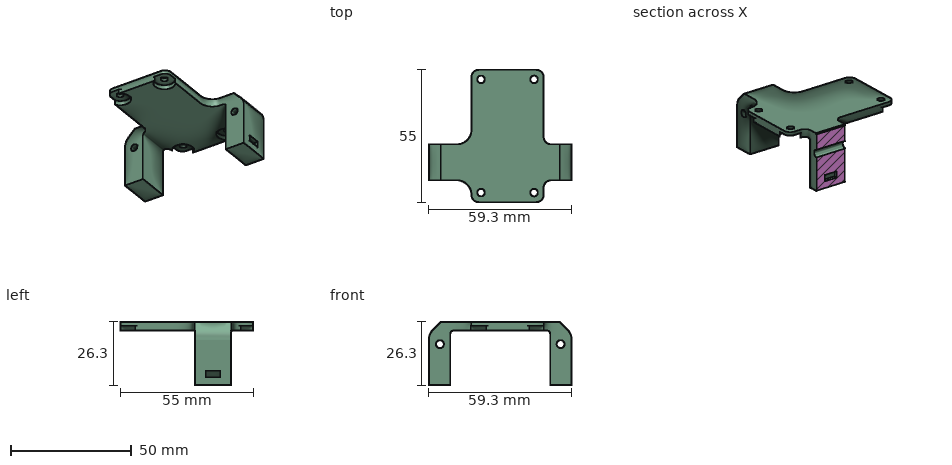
import cadquery as cq

length_x = 59.3
length_y = 55.0
height = 26.25
top_z = height / 2
bottom_z = -height / 2

plate_width = 30.0
plate_left = -12.0
plate_right = plate_left + plate_width
plate_thickness = 3.7
plate_corner_radius = 3.0
left_blend_radius = 6.0
right_blend_radius = 3.0

mount_hole_diameter = 3.0
mount_hole_inset = 4.0
corner_web_thickness = 1.65
corner_clearance_radius = 4.5

arm_depth = 15.0
arm_front = -length_y / 2 + 9.1
arm_back = arm_front + arm_depth
arm_mid_y = (arm_front + arm_back) / 2
leg_width = 9.0
shoulder_chamfer = 5.0
shoulder_radius = 6.0
inner_radius = 1.2

leg_hole_diameter = 3.2
leg_hole_inset = 4.6
leg_hole_drop = 9.25
pocket_width = 6.0
pocket_height = 2.65
pocket_floor_height = 3.3
pocket_depth = 6.0


def box_between(x_range, y_range, z_range):
    """Axis-aligned box spanning three (low, high) ranges."""
    sizes = [high - low for low, high in (x_range, y_range, z_range)]
    corner = (x_range[0], y_range[0], z_range[0])
    return cq.Workplane("XY").box(*sizes, centered=False).translate(corner)


def make_plan():
    """Full-height prism of the plate crossed by the arm, with all plan corners rounded."""
    z_range = (bottom_z, top_z)
    plate = box_between((plate_left, plate_right), (-length_y / 2, length_y / 2), z_range)
    arm = box_between((-length_x / 2, length_x / 2), (arm_front, arm_back), z_range)
    plate = plate.edges("|Z").fillet(plate_corner_radius)
    plan = plate.union(arm)
    for x, radius in ((plate_left, left_blend_radius), (plate_right, right_blend_radius)):
        for y in (arm_front, arm_back):
            inside_corner = cq.selectors.NearestToPointSelector((x, y, 0))
            plan = plan.edges("|Z").edges(inside_corner).fillet(radius)
    return plan


def make_bridge():
    """Upside-down U running the full Y length, with sloped shoulders blended into the legs."""
    block = cq.Workplane("XY").box(length_x, length_y, height)
    block = block.edges("|Y and >Z").chamfer(shoulder_chamfer)
    shoulder_z = top_z - shoulder_chamfer
    for side in (-1, 1):
        shoulder = cq.selectors.NearestToPointSelector((side * length_x / 2, 0, shoulder_z))
        block = block.edges("|Y").edges(shoulder).fillet(shoulder_radius)
    inner_x = length_x / 2 - leg_width
    opening = box_between(
        (-inner_x, inner_x),
        (-length_y / 2, length_y / 2),
        (bottom_z, top_z - plate_thickness),
    )
    opening = opening.edges("|Y and >Z").fillet(inner_radius)
    return block.cut(opening)


def cut_mounting_corners(body):
    """Through holes near the plate corners, each with a round clearance below the web."""
    hole_y = length_y / 2 - mount_hole_inset
    points = [
        (x, y)
        for x in (plate_left + mount_hole_inset, plate_right - mount_hole_inset)
        for y in (-hole_y, hole_y)
    ]
    holes = (
        cq.Workplane("XY", origin=(0, 0, top_z))
        .pushPoints(points)
        .circle(mount_hole_diameter / 2)
        .extrude(-plate_thickness)
    )
    clearances = (
        cq.Workplane("XY", origin=(0, 0, top_z - corner_web_thickness))
        .pushPoints(points)
        .circle(corner_clearance_radius)
        .extrude(corner_web_thickness - plate_thickness)
    )
    return body.cut(holes).cut(clearances)


def cut_leg_features(body):
    """A hole along Y and a blind rectangular pocket from the outer face in each leg."""
    hole_z = top_z - leg_hole_drop
    hole_x = length_x / 2 - leg_hole_inset
    pocket_z = bottom_z + pocket_floor_height + pocket_height / 2
    pocket_x = (length_x - pocket_depth) / 2
    for side in (-1, 1):
        hole = (
            cq.Workplane("XZ", origin=(side * hole_x, arm_back, hole_z))
            .circle(leg_hole_diameter / 2)
            .extrude(arm_depth)
        )
        pocket = (
            cq.Workplane("XY")
            .box(pocket_depth, pocket_width, pocket_height)
            .translate((side * pocket_x, arm_mid_y, pocket_z))
        )
        body = body.cut(hole).cut(pocket)
    return body


bracket = make_plan().intersect(make_bridge())
bracket = cut_mounting_corners(bracket)
result = cut_leg_features(bracket)